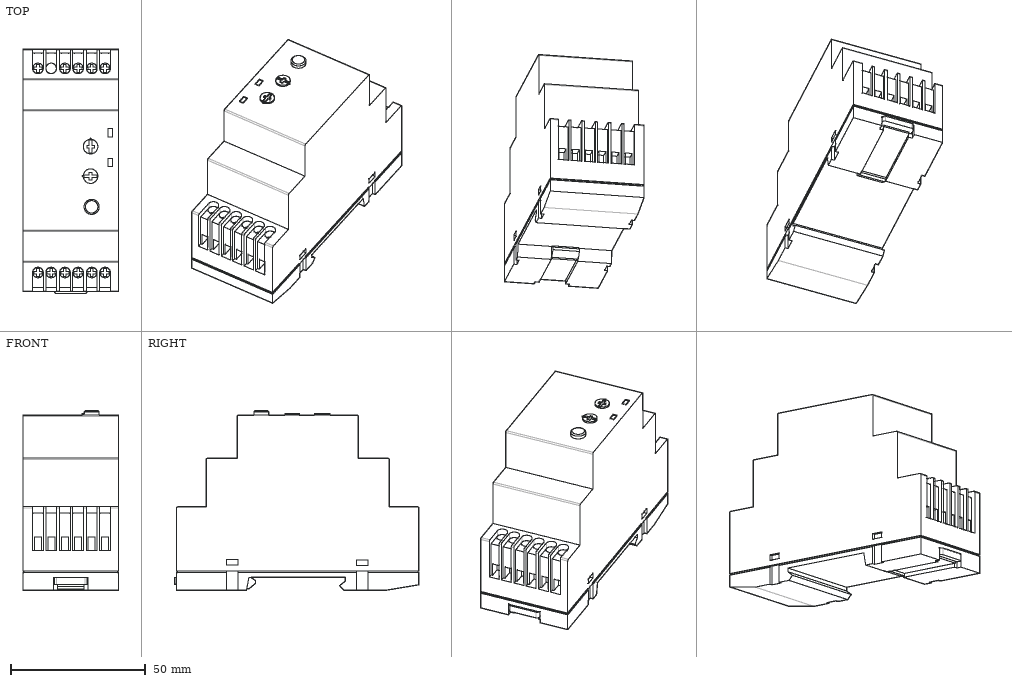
import cadquery as cq
import math

WIDTH = 35.5
HALF_WIDTH = WIDTH / 2
TIER_HALF_DEPTHS = (45.0, 34.0, 22.5)
TIER_TOPS = (31.0, 49.0, 65.0)
TIER_ROUNDING = 0.5
HALF_DEPTH = TIER_HALF_DEPTHS[0]
HOUSING_TOP = TIER_TOPS[2]
OVERLAP = 1.0

SEAM_BOTTOM = 6.6
SEAM_TOP = 7.15
SEAM_DEPTH = 0.3

RAIL_CEILING = 4.8
RAIL_REAR_Y = 17.6
RAIL_FRONT_TOP_Y = -18.1
RAIL_FRONT_BOTTOM_Y = -19.0
REAR_LIP_TOP = 3.4
REAR_LIP_TIP = (15.5, 1.7)
REAR_LIP_BOTTOM_Y = 17.1
FOOT_SLOPE_START_Y = 33.0
FOOT_SLOPE_RISE = 2.0

NOTCH_WIDTH = 12.9
NOTCH_DEPTH = 2.0
TAB_WIDTH = 12.2
TAB_ROUNDING = 0.9
TAB_PROJECTION = 0.7
TAB_BOTTOM = 2.2
SLIDER_WIDTH = 10.0
SLIDER_BOTTOM = 1.45
SLIDER_FRONT_Y = -HALF_DEPTH + NOTCH_DEPTH - 0.5
HOOK_TIP_Y = -15.6
HOOK_TIP_TOP = 3.6
HOOK_TIP_BOTTOM = 2.6
HOOK_TOP_Y = -17.4
HOOK_BOTTOM = 0.5
HOOK_BOTTOM_Y = -18.1
HOOK_ROOT_Y = -19.5

FLANK_CUT_DEPTH = 1.2
FLANK_CUT_WIDTH = 4.25
FLANK_CUT_YS = (-24.35, 23.95)
WINDOW_HEIGHT = 2.1
WINDOW_BOTTOMS = (9.4, 9.15)

PAIR_COUNT = 3
TERMINAL_COUNT = 2 * PAIR_COUNT
PAIR_PITCH = 10.0
PAIR_SPACING = 4.9
TERMINAL_CENTRE_X = 0.28
SLOT_WIDTH = 4.0
SLOT_FLOOR = 14.8
SCREW_INSET = 7.1
LEDGE_INSET = 1.5
LEDGE_HEIGHT = 28.6
SCREW_BORE_DIAMETER = 3.85
SCREW_BORE_DEPTH = 3.0
SCREW_CROSS_LENGTH = 3.0
SCREW_CROSS_WIDTH = 1.0
CROSS_DEPTH = 0.5
ENTRY_PITCH = 5.0
ENTRY_WIDTH = 2.6
ENTRY_HEIGHT = 5.0
ENTRY_DEPTH = 4.0
PLAIN_REAR_TERMINAL = 1

DIAL_X = 7.35
DIAL_DIAMETER = 5.4
DIAL_HEIGHT = 0.6
DIAL_CROSS_LENGTH = 2.8
DIAL_SLOT_LENGTH = 4.8
DIAL_CROSS_WIDTH = 1.0
POINTER_REACH = 3.15
POINTER_HALF_WIDTH = 0.4
DIALS = ((8.85, 90), (-2.1, 180))
BUTTON_CENTRE = (7.75, -13.5)
BUTTON_DIAMETER = 5.6
BUTTON_HEIGHT = 1.7
BUTTON_CHAMFER = 0.5
LAMP_X = 14.6
LAMP_WIDTH = 1.6
LAMP_LENGTH = 3.0
LAMP_DEPTH = 0.4
LAMP_YS = (14.0, 3.0)


def block(x_range, y_range, z_range):
    """Axis-aligned box from its limits on each axis."""
    (x0, x1), (y0, y1), (z0, z1) = x_range, y_range, z_range
    return cq.Workplane("XY").box(x1 - x0, y1 - y0, z1 - z0, centered=False).translate((x0, y0, z0))


def across(width, centre=0.0):
    """Limits of a span of the given width about a centre."""
    return (centre - width / 2, centre + width / 2)


def between(a, b):
    """Limits of the span between two positions given in either order."""
    return (min(a, b), max(a, b))


def side_profile(points, width):
    """Closed (Y, Z) outline extruded symmetrically about X = 0."""
    return cq.Workplane("YZ").polyline(points).close().extrude(width / 2, both=True)


def cylinder(x, y, z, diameter, height):
    return cq.Workplane("XY", origin=(x, y, z)).circle(diameter / 2).extrude(height)


def cross(x, y, top, length_x, length_y, width):
    """Cross-shaped driver recess reaching CROSS_DEPTH below the given height."""
    plane = cq.Workplane("XY", origin=(x, y, top))
    bar_x = plane.rect(length_x, width).extrude(-CROSS_DEPTH)
    bar_y = plane.rect(width, length_y).extrude(-CROSS_DEPTH)
    return bar_x.union(bar_y)


def make_housing():
    housing = None
    for half_depth, top in zip(TIER_HALF_DEPTHS, TIER_TOPS):
        tier = block(across(WIDTH), across(2 * half_depth), (0, top))
        tier = tier.faces(">Z").edges("|X").fillet(TIER_ROUNDING)
        housing = tier if housing is None else housing.union(tier)
    return housing


def make_seam():
    seam_z = (SEAM_BOTTOM, SEAM_TOP)
    outer = block(across(WIDTH + OVERLAP), across(2 * HALF_DEPTH + OVERLAP), seam_z)
    core = block(across(WIDTH - 2 * SEAM_DEPTH), across(2 * (HALF_DEPTH - SEAM_DEPTH)), seam_z)
    return outer.cut(core)


def make_rail_channel():
    return side_profile(
        [
            (RAIL_REAR_Y, RAIL_CEILING),
            (RAIL_REAR_Y, REAR_LIP_TOP),
            REAR_LIP_TIP,
            (REAR_LIP_BOTTOM_Y, 0),
            (RAIL_FRONT_BOTTOM_Y, 0),
            (RAIL_FRONT_TOP_Y, RAIL_CEILING),
        ],
        WIDTH,
    )


def make_foot_slope():
    return side_profile(
        [(FOOT_SLOPE_START_Y, 0), (HALF_DEPTH, FOOT_SLOPE_RISE), (HALF_DEPTH, 0)],
        WIDTH,
    )


def make_flank_cuts():
    cuts = cq.Workplane("XY")
    for side in (-1, 1):
        flank_x = across(2 * FLANK_CUT_DEPTH, side * HALF_WIDTH)
        for y, window_bottom in zip(FLANK_CUT_YS, WINDOW_BOTTOMS):
            span_y = across(FLANK_CUT_WIDTH, y)
            cuts = cuts.add(block(flank_x, span_y, (0, SEAM_TOP)))
            cuts = cuts.add(block(flank_x, span_y, (window_bottom, window_bottom + WINDOW_HEIGHT)))
    return cuts.combine()


def make_latch_opening():
    notch = block(across(NOTCH_WIDTH), (-HALF_DEPTH, -HALF_DEPTH + NOTCH_DEPTH), (0, RAIL_CEILING))
    guide = block(across(SLIDER_WIDTH), (-HALF_DEPTH, RAIL_FRONT_TOP_Y), (0, RAIL_CEILING))
    return notch.union(guide)


def make_latch():
    tab_y = (-HALF_DEPTH - TAB_PROJECTION, -HALF_DEPTH + NOTCH_DEPTH)
    tab = block(across(TAB_WIDTH), tab_y, (TAB_BOTTOM, RAIL_CEILING))
    tab = tab.faces("<Y").edges("|Z").fillet(TAB_ROUNDING)
    slider = side_profile(
        [
            (SLIDER_FRONT_Y, RAIL_CEILING),
            (HOOK_TOP_Y, RAIL_CEILING),
            (HOOK_TIP_Y, HOOK_TIP_TOP),
            (HOOK_TIP_Y, HOOK_TIP_BOTTOM),
            (HOOK_BOTTOM_Y, HOOK_BOTTOM),
            (HOOK_ROOT_Y, HOOK_BOTTOM),
            (HOOK_ROOT_Y, SLIDER_BOTTOM),
            (SLIDER_FRONT_Y, SLIDER_BOTTOM),
        ],
        SLIDER_WIDTH,
    )
    return tab.union(slider)


def slot_x(index):
    pair, member = divmod(index, 2)
    return TERMINAL_CENTRE_X + (pair - (PAIR_COUNT - 1) / 2) * PAIR_PITCH + (member - 0.5) * PAIR_SPACING


def entry_x(index):
    return TERMINAL_CENTRE_X + (index - (TERMINAL_COUNT - 1) / 2) * ENTRY_PITCH


def make_terminal(index, end):
    """Cut for one terminal; end is -1 for the front face and +1 for the rear."""
    x = slot_x(index)
    screw_y = end * (HALF_DEPTH - SCREW_INSET)
    ledge_y = end * (HALF_DEPTH - LEDGE_INSET)
    outside_y = end * (HALF_DEPTH + OVERLAP)
    slot_height = TIER_TOPS[0] + OVERLAP - LEDGE_HEIGHT
    bore_floor = LEDGE_HEIGHT - SCREW_BORE_DEPTH

    slot_end = cylinder(x, screw_y, LEDGE_HEIGHT, SLOT_WIDTH, slot_height)
    slot = block(
        across(SLOT_WIDTH, x),
        between(screw_y, outside_y),
        (LEDGE_HEIGHT, LEDGE_HEIGHT + slot_height),
    )
    face = block(across(SLOT_WIDTH, x), between(ledge_y, outside_y), (SLOT_FLOOR, LEDGE_HEIGHT))
    entry = block(
        across(ENTRY_WIDTH, entry_x(index)),
        between(ledge_y - end * ENTRY_DEPTH, ledge_y),
        (SLOT_FLOOR, SLOT_FLOOR + ENTRY_HEIGHT),
    )
    bore = cylinder(x, screw_y, bore_floor, SCREW_BORE_DIAMETER, SCREW_BORE_DEPTH)
    cut = slot_end.union(slot).union(face).union(entry).union(bore)
    if end > 0 and index == PLAIN_REAR_TERMINAL:
        return cut
    screw_cross = cross(x, screw_y, bore_floor, SCREW_CROSS_LENGTH, SCREW_CROSS_LENGTH, SCREW_CROSS_WIDTH)
    return cut.union(screw_cross)


def make_dial(y, pointer_angle):
    """Low disc with a small pointer at its rim and a cross recess, longer along the pointer."""
    disc = cylinder(0, 0, 0, DIAL_DIAMETER, DIAL_HEIGHT)
    rim_x = math.sqrt((DIAL_DIAMETER / 2) ** 2 - POINTER_HALF_WIDTH ** 2)
    pointer = (
        cq.Workplane("XY")
        .polyline([(0, 0), (rim_x, -POINTER_HALF_WIDTH), (POINTER_REACH, 0), (rim_x, POINTER_HALF_WIDTH)])
        .close()
        .extrude(DIAL_HEIGHT)
    )
    recess = cross(0, 0, DIAL_HEIGHT, DIAL_SLOT_LENGTH, DIAL_CROSS_LENGTH, DIAL_CROSS_WIDTH)
    dial = disc.union(pointer).cut(recess)
    return dial.rotate((0, 0, 0), (0, 0, 1), pointer_angle).translate((DIAL_X, y, HOUSING_TOP))


def make_button():
    button = cylinder(*BUTTON_CENTRE, HOUSING_TOP, BUTTON_DIAMETER, BUTTON_HEIGHT)
    return button.faces(">Z").chamfer(BUTTON_CHAMFER)


def make_lamp(y):
    return block(
        across(LAMP_WIDTH, LAMP_X),
        across(LAMP_LENGTH, y),
        (HOUSING_TOP - LAMP_DEPTH, HOUSING_TOP),
    )


part = make_housing()
for cutter in (make_seam(), make_rail_channel(), make_foot_slope(), make_flank_cuts(), make_latch_opening()):
    part = part.cut(cutter)
part = part.union(make_latch())

for end in (-1, 1):
    for index in range(TERMINAL_COUNT):
        part = part.cut(make_terminal(index, end))

for dial_y, pointer_angle in DIALS:
    part = part.union(make_dial(dial_y, pointer_angle))
part = part.union(make_button())
for lamp_y in LAMP_YS:
    part = part.cut(make_lamp(lamp_y))

result = part